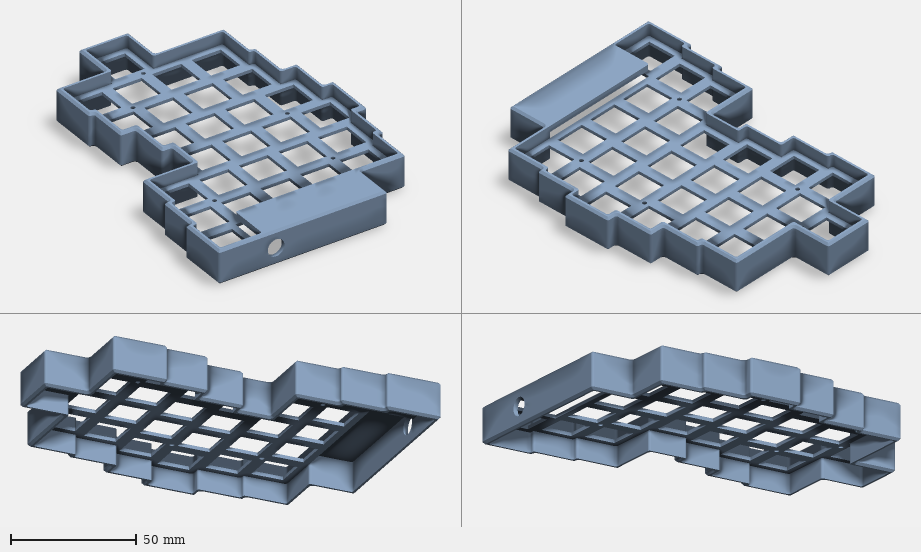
import cadquery as cq

KEY_PITCH = 19.05
STAGGER = KEY_PITCH / 8
KEY_HOLE = 14.0
KEY_MARGIN = 5.0
KEY_CELL = KEY_HOLE + 2 * KEY_MARGIN

COLUMNS = [(20, 1), (6, 4), (5, 4), (2, 4), (0, 4), (2, 5), (3, 5), (36, 1)]
LAST_COLUMN = len(COLUMNS) - 1

BAY_DROP = 12
BAY_CELLS = 3

CASE_HEIGHT = 16.1
WALL = 2.0
CORNER_RADIUS = 1.0
RIM_CHAMFER = 1.0
BAY_ROOF = 3.0

JACK_DIAMETER = 8.0
JACK_OFFSET = 15.5
JACK_HEIGHT = CASE_HEIGHT / 2

PLATE_DEPTH = 6.0
PLATE_THICKNESS = 1.5
PLATE_TOP = CASE_HEIGHT - PLATE_DEPTH
PLATE_BOTTOM = PLATE_TOP - PLATE_THICKNESS

SCREW_DIAMETER = 2.0
SCREWS = [(0, 18), (1, 25.5), (3, 5), (5, 6.5), (5, 30.5)]


def key_centers():
    """Centres of all keys; the highest key lies on Y = 0, the first column on X = 0."""
    return [
        (column * KEY_PITCH, -drop * STAGGER - row * KEY_PITCH)
        for column, (drop, count) in enumerate(COLUMNS)
        for row in range(count)
    ]


def bay_centers():
    """Centres of the cells that make up the controller bay."""
    return [
        (LAST_COLUMN * KEY_PITCH, -BAY_DROP * STAGGER - row * KEY_PITCH)
        for row in range(BAY_CELLS)
    ]


def square_prisms(centers, side, bottom, top):
    """Upright square prisms on all centres, merged where they overlap."""
    squares = cq.Sketch().push(centers).rect(side, side).clean()
    return cq.Workplane("XY").workplane(offset=bottom).placeSketch(squares).extrude(top - bottom)


def rounded(body):
    return body.edges("|Z").fillet(CORNER_RADIUS)


def case_shell():
    """Hollow case without the switch plate; the roof covers only the controller bay."""
    keys = key_centers()
    outline = keys + bay_centers()
    inner_cell = KEY_CELL - 2 * WALL
    body = rounded(square_prisms(outline, KEY_CELL, 0, CASE_HEIGHT))
    body = body.faces("<Z or >Z").edges().chamfer(RIM_CHAMFER)
    lower_room = rounded(square_prisms(outline, inner_cell, 0, CASE_HEIGHT - BAY_ROOF))
    key_well = rounded(square_prisms(keys, inner_cell, 0, CASE_HEIGHT))
    return body.cut(lower_room).cut(key_well)


def switch_plate():
    """Plate that holds the switches, with one square hole per key and the screw holes."""
    keys = key_centers()
    plate = square_prisms(keys, KEY_CELL - 2 * WALL, PLATE_BOTTOM, PLATE_TOP)
    key_holes = square_prisms(keys, KEY_HOLE, PLATE_BOTTOM, PLATE_TOP)
    screw_points = [
        ((column + 0.5) * KEY_PITCH, -drop * STAGGER)
        for column, drop in SCREWS
    ]
    screw_holes = (
        cq.Workplane("XY")
        .workplane(offset=PLATE_BOTTOM)
        .pushPoints(screw_points)
        .circle(SCREW_DIAMETER / 2)
        .extrude(PLATE_THICKNESS)
    )
    return plate.cut(key_holes).cut(screw_holes)


def jack_opening():
    """Cutter along X that passes through the +X wall only."""
    last_x, last_y = key_centers()[-1]
    wall_inside = last_x + KEY_CELL / 2 - WALL
    cutter = cq.Workplane("YZ", origin=(wall_inside, last_y + JACK_OFFSET, JACK_HEIGHT))
    return cutter.circle(JACK_DIAMETER / 2).extrude(WALL)


result = case_shell().cut(jack_opening()).union(switch_plate())